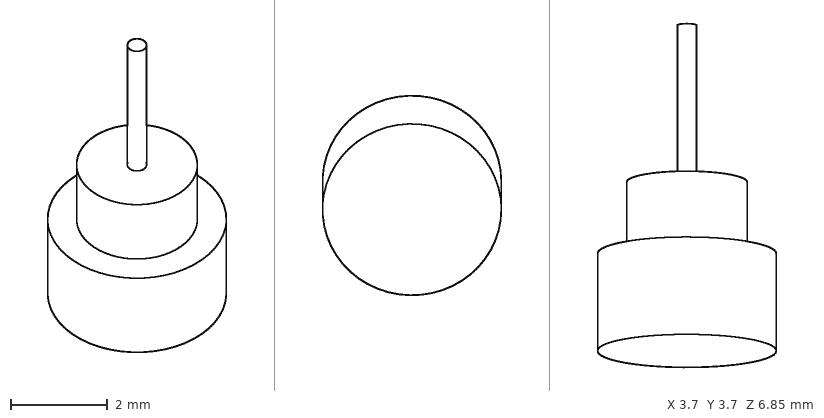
import cadquery as cq

total_height = 6.85
base_diameter = 3.7
base_height = 2.05
collar_diameter = 2.5
collar_height = 1.5
pin_diameter = 0.4
pin_length = total_height - base_height - collar_height


def add_cylinder(body, diameter, height):
    """Stack a concentric cylinder on the top face of the body."""
    return body.faces(">Z").workplane().circle(diameter / 2).extrude(height)


base = cq.Workplane("XY").circle(base_diameter / 2).extrude(base_height)

stepped_body = add_cylinder(base, collar_diameter, collar_height)
result = add_cylinder(stepped_body, pin_diameter, pin_length)